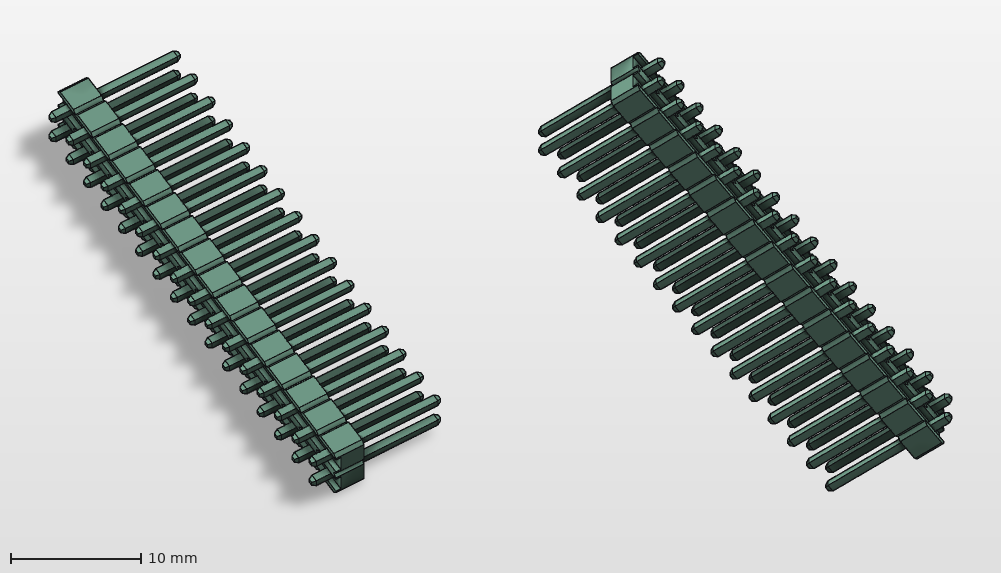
import cadquery as cq

columns = 16
rows = 2
body_length = 40.65
pitch = body_length / columns
body_height = rows * pitch
body_depth = pitch
corner_chamfer = 0.305
notch_sides = 4

groove_width = 1.55
groove_depth = 0.45

pin_width = 0.65
tip_width = 0.35
tip_length = 0.33
mating_length = 7.55
tail_length = 1.5
pin_length = tail_length + body_depth + mating_length

column_centres = [(column - (columns - 1) / 2) * pitch for column in range(columns)]
row_centres = [(row - (rows - 1) / 2) * pitch for row in range(rows)]


def make_body():
    """Block with diamond notches at every corner of the cell grid and one groove per row."""
    body = cq.Workplane("XY").box(body_length, body_depth, body_height)
    body = body.translate((0, body_depth / 2, 0))

    notch_centres = [
        (column * pitch - body_length / 2, row * pitch - body_height / 2)
        for column in range(columns + 1)
        for row in range(rows + 1)
    ]
    notches = (
        cq.Workplane("XZ")
        .pushPoints(notch_centres)
        .polygon(notch_sides, 2 * corner_chamfer)
        .extrude(-body_depth)
    )
    body = body.cut(notches)

    for row_z in row_centres:
        groove = cq.Workplane("XY").box(body_length, groove_depth, groove_width)
        body = body.cut(groove.translate((0, groove_depth / 2, row_z)))
    return body


def make_tip(base_y, direction):
    """Pyramid frustum narrowing from base_y along direction (+1 or -1 in Y)."""
    return (
        cq.Workplane("XZ", origin=(0, base_y, 0))
        .rect(pin_width, pin_width)
        .workplane(offset=-direction * tip_length)
        .rect(tip_width, tip_width)
        .loft(ruled=True)
    )


def make_pin():
    """One pin on the Y axis, tapered at both ends."""
    shaft_start = tip_length - tail_length
    shaft_length = pin_length - 2 * tip_length
    shaft = (
        cq.Workplane("XZ", origin=(0, shaft_start, 0))
        .rect(pin_width, pin_width)
        .extrude(-shaft_length)
    )
    tail_tip = make_tip(shaft_start, -1)
    mating_tip = make_tip(shaft_start + shaft_length, 1)
    return shaft.union(tail_tip).union(mating_tip)


pin = make_pin().val()
pins = [
    pin.translate(cq.Vector(column_x, 0, row_z))
    for column_x in column_centres
    for row_z in row_centres
]
result = cq.Workplane("XY").newObject([make_body().val().fuse(*pins)])